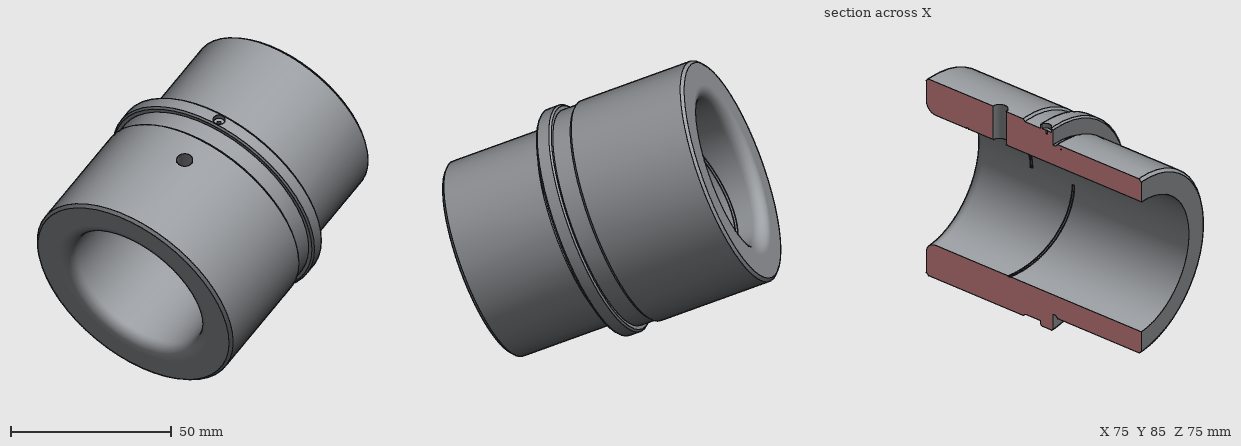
import cadquery as cq
import math

length = 85.0
front_end = -length / 2

front_radius = 36.5
groove_radius = 35.7
flange_radius = 37.5
undercut_radius = 31.4
rear_radius = 32.3
bore_radius = 24.0

front_body_end = 39.1
flange_start = 45.05
flange_end = 50.15
rear_body_start = 51.0

end_chamfer = 0.9
flange_chamfer = 0.6
bore_round = 4.0
groove_ramp = front_radius - groove_radius
undercut_ramp = rear_radius - undercut_radius

oil_hole_diameter = 5.0
oil_hole_station = 29.1
screw_hole_diameter = 3.7
screw_hole_depth = 1.7
screw_hole_x = 0.7
socket_diameter = 1.4
socket_depth = 1.3

oil_groove_width = 0.8
oil_groove_depth = 0.25
lower_groove_station = 32.8
oil_groove_tilt = -15.0
upper_groove_station = 16.3


def make_sleeve():
    """Revolve the stepped wall, drawn as (radius, station), about Y."""
    round_middle = bore_round * (1 - math.sqrt(0.5))
    profile = (
        cq.Workplane("XY", origin=(0, front_end, 0))
        .moveTo(bore_radius + bore_round, 0)
        .lineTo(front_radius - end_chamfer, 0)
        .lineTo(front_radius, end_chamfer)
        .lineTo(front_radius, front_body_end - groove_ramp)
        .lineTo(groove_radius, front_body_end)
        .lineTo(groove_radius, flange_start)
        .lineTo(flange_radius - flange_chamfer, flange_start)
        .lineTo(flange_radius, flange_start + flange_chamfer)
        .lineTo(flange_radius, flange_end - flange_chamfer)
        .lineTo(flange_radius - flange_chamfer, flange_end)
        .lineTo(undercut_radius, flange_end)
        .lineTo(undercut_radius, rear_body_start)
        .lineTo(rear_radius, rear_body_start + undercut_ramp)
        .lineTo(rear_radius, length - end_chamfer)
        .lineTo(rear_radius - end_chamfer, length)
        .lineTo(bore_radius, length)
        .lineTo(bore_radius, bore_round)
        .threePointArc(
            (bore_radius + round_middle, round_middle),
            (bore_radius + bore_round, 0),
        )
        .close()
    )
    return profile.revolve(360, (0, 0, 0), (0, 1, 0))


def make_oil_hole():
    """Radial hole from the top of the front body into the bore."""
    return (
        cq.Workplane("XY", origin=(0, front_end + oil_hole_station, 0))
        .circle(oil_hole_diameter / 2)
        .extrude(front_radius)
    )


def make_screw_hole():
    """Radial blind hole in the top of the flange, with a small socket in its floor."""
    flange_middle = front_end + (flange_start + flange_end) / 2
    floor = flange_radius - screw_hole_depth
    return (
        cq.Workplane("XY", origin=(screw_hole_x, flange_middle, floor))
        .circle(screw_hole_diameter / 2)
        .extrude(2 * screw_hole_depth)
        .faces("<Z")
        .workplane()
        .circle(socket_diameter / 2)
        .extrude(socket_depth)
    )


def make_oil_groove(station, tilt, side):
    """Half-turn groove in the bore, tilted about Z, above (side 1) or below (side -1) the axis."""
    reach = bore_radius + oil_groove_depth
    slab = (
        cq.Workplane("XY")
        .box(length, oil_groove_width, length)
        .rotate((0, 0, 0), (0, 0, 1), tilt)
        .translate((0, front_end + station, 0))
    )
    half_bore = (
        cq.Workplane("XZ", origin=(0, -front_end, 0))
        .circle(reach)
        .extrude(length)
        .intersect(cq.Workplane("XY").box(length, length, reach).translate((0, 0, side * reach / 2)))
    )
    return slab.intersect(half_bore)


result = (
    make_sleeve()
    .cut(make_oil_hole())
    .cut(make_screw_hole())
    .cut(make_oil_groove(lower_groove_station, oil_groove_tilt, -1))
    .cut(make_oil_groove(upper_groove_station, oil_groove_tilt, 1))
)